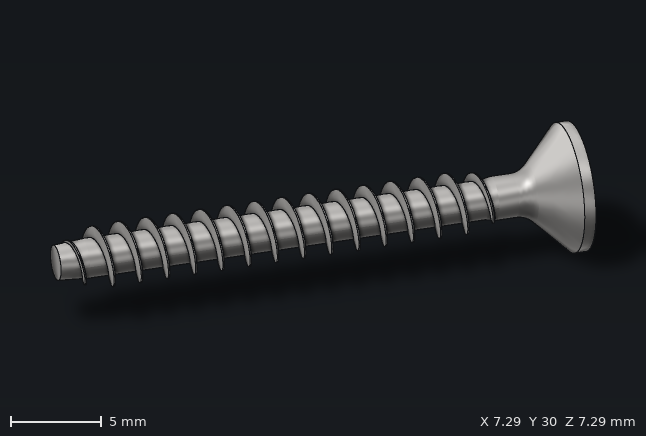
import cadquery as cq
import math

length = 30.0
head_radius = 3.645
rim_depth = 0.65
head_angle = math.radians(45)

shank_radius = 1.23
neck_fillet = 1.4
shank_end = 4.8
core_radius = 1.1
core_start = 5.4
tip_radius = 1.0
tip_taper_start = 28.35

crest_radius = 1.77
buried_radius = 0.9
root_width = 0.48
crest_width = 0.1
thread_start = 4.47
start_angle = math.radians(180)
run_in_turns = 1.25
full_turns = 13.5
run_out_turns = 1.4
thread_end = 29.8
pitch = (thread_end - thread_start) / (run_in_turns + full_turns + run_out_turns)
start_crest_radius = 1.2
end_crest_radius = 0.95
end_root_width = 0.15
points_per_turn = 16


def make_body():
    """Countersunk head, filleted neck, shank and core, revolved about local Z."""
    fillet_rise = neck_fillet * (1 - math.cos(head_angle))
    cone_end_radius = shank_radius + fillet_rise
    cone_end = rim_depth + (head_radius - cone_end_radius) / math.tan(head_angle)
    neck_end = cone_end + neck_fillet * math.sin(head_angle)
    half_angle = head_angle / 2
    fillet_middle = (
        shank_radius + neck_fillet * (1 - math.cos(half_angle)),
        neck_end - neck_fillet * math.sin(half_angle),
    )
    return (
        cq.Workplane("XZ")
        .moveTo(0, 0)
        .lineTo(head_radius, 0)
        .lineTo(head_radius, rim_depth)
        .lineTo(cone_end_radius, cone_end)
        .threePointArc(fillet_middle, (shank_radius, neck_end))
        .lineTo(shank_radius, shank_end)
        .lineTo(core_radius, core_start)
        .lineTo(core_radius, tip_taper_start)
        .lineTo(tip_radius, length)
        .lineTo(0, length)
        .close()
        .revolve(360, (0, 0), (0, 1))
    )


def thread_section(crest, width):
    """Corners of the ridge section as (radius, axial offset) pairs."""
    crest_half = min(crest_width, width) / 2
    root_half = width / 2
    return [
        (buried_radius, -root_half),
        (crest, -crest_half),
        (crest, crest_half),
        (buried_radius, root_half),
    ]


def spiral_edge(first_turn, turns, start, end):
    """Helical curve whose radius and axial offset change evenly from start to end."""
    steps = math.ceil(turns * points_per_turn)
    points = []
    for step in range(steps + 1):
        share = step / steps
        turn = first_turn + share * turns
        angle = start_angle + 2 * math.pi * turn
        radius = start[0] + share * (end[0] - start[0])
        offset = start[1] + share * (end[1] - start[1])
        depth = thread_start + pitch * turn + offset
        points.append(cq.Vector(radius * math.cos(angle), radius * math.sin(angle), depth))
    return cq.Edge.makeSpline(points)


def thread_segment(first_turn, turns, start_section, end_section):
    """Solid ridge bounded by ruled faces between its corner spirals."""
    edges = [spiral_edge(first_turn, turns, *ends) for ends in zip(start_section, end_section)]
    faces = []
    for index, edge in enumerate(edges):
        faces.append(cq.Face.makeRuledSurface(edge, edges[(index + 1) % len(edges)]))
    for position in (0, 1):
        corners = [edge.positionAt(position) for edge in edges]
        faces.append(cq.Face.makeFromWires(cq.Wire.makePolygon(corners, close=True)))
    return cq.Solid.makeSolid(cq.Shell.makeShell(faces)).fix()


run_in_section = thread_section(start_crest_radius, root_width)
full_section = thread_section(crest_radius, root_width)
run_out_section = thread_section(end_crest_radius, end_root_width)

screw = make_body()
screw = screw.union(thread_segment(0, run_in_turns, run_in_section, full_section))
screw = screw.union(thread_segment(run_in_turns, full_turns, full_section, full_section))
screw = screw.union(
    thread_segment(run_in_turns + full_turns, run_out_turns, full_section, run_out_section)
)

result = screw.rotate((0, 0, 0), (1, 0, 0), 90).solids()